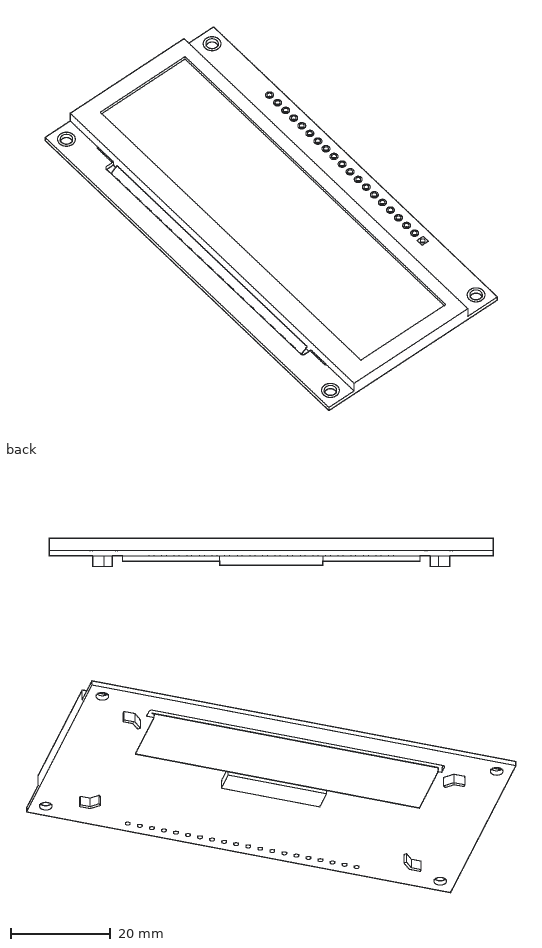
import cadquery as cq
import math

BOARD_LENGTH = 89.2
BOARD_WIDTH = 44.0
BOARD_THICKNESS = 1.1

BEZEL_FRONT_Y = -15.4
BEZEL_BACK_Y = 14.3
BEZEL_HEIGHT = 2.5

WINDOW_LENGTH = 81.9
WINDOW_WIDTH = 22.1
WINDOW_CENTRE_Y = 0.45
WINDOW_DEPTH = 0.8

HOLE_DIAMETER = 2.5
HOLE_RING_DIAMETER = 3.6
HOLE_X = 41.5
HOLE_Y = 19.0
PAD_HEIGHT = 0.045

PIN_COUNT = 20
PIN_PITCH = 2.53
PIN_ROW_Y = 19.5
PIN_HOLE_DIAMETER = 1.0
PIN_PAD_SIZE = 1.6

TAB_CENTRE_X = 33.5
TAB_HALF_WIDTH = 2.3
TAB_THICKNESS = 0.6
TAB_DROP = 2.1
TAB_TWIST = 45.0
TAB_OVERHANG = 0.13
SHOULDER_OVERHANG = 0.3
SHOULDER_RISE = 0.045

RELIEF_OUTER_X = 36.4
RELIEF_INNER_X = 30.9
RELIEF_BACK_Y = 14.9
RELIEF_DEPTH = 0.3

SLOT_LENGTH = 62.1
SLOT_FRONT_Y = -17.7
SLOT_CORNER_RADIUS = 0.5

CABLE_WIDTH = 59.8
CABLE_THICKNESS = 0.11
CABLE_BOTTOM_Z = -1.1
CABLE_FRONT_Y = -16.9
CABLE_BEND_RADIUS = 0.67
CABLE_SLOPE = 38.0

CONNECTOR_LENGTH = 20.7
CONNECTOR_FRONT_Y = -4.1
CONNECTOR_BACK_Y = 0.45
CONNECTOR_HEIGHT = 1.9


def block(x_range, y_range, z_range):
    """Box between pairs of X, Y and Z limits."""
    size = [limits[1] - limits[0] for limits in (x_range, y_range, z_range)]
    corner = (x_range[0], y_range[0], z_range[0])
    return cq.Workplane("XY").box(*size, centered=False).translate(corner)


def centred_block(length, y_range, z_range):
    """Box that is symmetric about X = 0."""
    return block((-length / 2, length / 2), y_range, z_range)


def pin_positions():
    first_x = -PIN_PITCH * (PIN_COUNT - 1) / 2
    return [(first_x + i * PIN_PITCH, PIN_ROW_Y) for i in range(PIN_COUNT)]


def hole_positions():
    return [(x, y) for x in (-HOLE_X, HOLE_X) for y in (-HOLE_Y, HOLE_Y)]


def make_board():
    """Plain board with its raised pads, before any hole is cut."""
    half_width = BOARD_WIDTH / 2
    board = centred_block(BOARD_LENGTH, (-half_width, half_width), (0, BOARD_THICKNESS))
    board_top = cq.Workplane("XY").workplane(offset=BOARD_THICKNESS)
    *round_pins, square_pin = pin_positions()
    rings = board_top.pushPoints(hole_positions()).circle(HOLE_RING_DIAMETER / 2).extrude(PAD_HEIGHT)
    round_pads = board_top.pushPoints(round_pins).circle(PIN_PAD_SIZE / 2).extrude(PAD_HEIGHT)
    square_pad = board_top.pushPoints([square_pin]).rect(PIN_PAD_SIZE, PIN_PAD_SIZE).extrude(PAD_HEIGHT)
    return board.union(rings).union(round_pads).union(square_pad)


def make_bezel():
    top_z = BOARD_THICKNESS + BEZEL_HEIGHT
    bezel = centred_block(BOARD_LENGTH, (BEZEL_FRONT_Y, BEZEL_BACK_Y), (BOARD_THICKNESS, top_z))
    window_y = (WINDOW_CENTRE_Y - WINDOW_WIDTH / 2, WINDOW_CENTRE_Y + WINDOW_WIDTH / 2)
    return bezel.cut(centred_block(WINDOW_LENGTH, window_y, (top_z - WINDOW_DEPTH, top_z)))


def make_tab():
    """Right back tab: a straight shoulder through the board, then a part folded along its middle."""
    outer_y = BEZEL_BACK_Y + TAB_OVERHANG
    inner_y = outer_y - TAB_THICKNESS
    straight_end_x = TAB_CENTRE_X + TAB_HALF_WIDTH
    shoulder = block(
        (TAB_CENTRE_X - TAB_HALF_WIDTH, straight_end_x),
        (inner_y, BEZEL_BACK_Y + SHOULDER_OVERHANG),
        (0, BOARD_THICKNESS + SHOULDER_RISE),
    )

    twist = math.radians(TAB_TWIST)
    end_x = TAB_CENTRE_X - TAB_HALF_WIDTH * math.cos(twist)
    end_y = outer_y - TAB_HALF_WIDTH * math.sin(twist)
    mitre = TAB_THICKNESS * math.tan(twist / 2)
    folded = (
        cq.Workplane("XY")
        .moveTo(straight_end_x, outer_y)
        .lineTo(TAB_CENTRE_X, outer_y)
        .lineTo(end_x, end_y)
        .lineTo(end_x + TAB_THICKNESS * math.sin(twist), end_y - TAB_THICKNESS * math.cos(twist))
        .lineTo(TAB_CENTRE_X + mitre, inner_y)
        .lineTo(straight_end_x, inner_y)
        .close()
        .extrude(-TAB_DROP)
    )
    return shoulder.union(folded)


def make_relief():
    return block(
        (RELIEF_INNER_X, RELIEF_OUTER_X),
        (BEZEL_BACK_Y, RELIEF_BACK_Y),
        (BOARD_THICKNESS - RELIEF_DEPTH, BOARD_THICKNESS),
    )


def make_slot():
    slot = centred_block(SLOT_LENGTH, (SLOT_FRONT_Y, BEZEL_FRONT_Y), (0, BOARD_THICKNESS))
    return slot.edges("|Z and <Y").fillet(SLOT_CORNER_RADIUS)


def drill(points, diameter):
    """Cutters that pass right through the board and its pads."""
    return cq.Workplane("XY").pushPoints(points).circle(diameter / 2).extrude(BOARD_THICKNESS + PAD_HEIGHT)


def make_display():
    """Board, bezel and locking tabs as one solid."""
    display = make_board().union(make_bezel())
    relief = make_relief()
    display = display.cut(relief).cut(relief.mirror("YZ"))

    bezel_centre = (0, (BEZEL_FRONT_Y + BEZEL_BACK_Y) / 2, 0)
    back_tab = make_tab()
    front_tab = back_tab.mirror("XZ", bezel_centre)
    for tab in (back_tab, front_tab):
        display = display.union(tab).union(tab.mirror("YZ"))

    display = display.cut(make_slot())
    display = display.cut(drill(hole_positions(), HOLE_DIAMETER))
    return display.cut(drill(pin_positions(), PIN_HOLE_DIAMETER))


def make_cable():
    """Cable profile in the YZ plane, drawn round the bend centre and extruded along X."""
    centre_y = CABLE_FRONT_Y + CABLE_BEND_RADIUS
    centre_z = CABLE_BOTTOM_Z + CABLE_BEND_RADIUS
    inner_radius = CABLE_BEND_RADIUS - CABLE_THICKNESS
    slope = math.radians(CABLE_SLOPE)

    def on_bend(radius, angle):
        return (centre_y - radius * math.sin(angle), centre_z + radius * math.cos(angle))

    def at_wall(radius):
        y, z = on_bend(radius, slope)
        return (BEZEL_FRONT_Y, z + (BEZEL_FRONT_Y - y) * math.tan(slope))

    middle = (slope + math.pi) / 2
    cable = (
        cq.Workplane("YZ", origin=(-CABLE_WIDTH / 2, 0, 0))
        .moveTo(CONNECTOR_FRONT_Y, CABLE_BOTTOM_Z)
        .lineTo(centre_y, CABLE_BOTTOM_Z)
        .threePointArc(on_bend(CABLE_BEND_RADIUS, middle), on_bend(CABLE_BEND_RADIUS, slope))
        .lineTo(*at_wall(CABLE_BEND_RADIUS))
        .lineTo(*at_wall(inner_radius))
        .lineTo(*on_bend(inner_radius, slope))
        .threePointArc(on_bend(inner_radius, middle), on_bend(inner_radius, math.pi))
        .lineTo(CONNECTOR_FRONT_Y, CABLE_BOTTOM_Z + CABLE_THICKNESS)
        .close()
        .extrude(CABLE_WIDTH)
    )
    return cable


def make_cable_assembly():
    """Connector with the flat cable that runs into its front face."""
    connector = centred_block(CONNECTOR_LENGTH, (CONNECTOR_FRONT_Y, CONNECTOR_BACK_Y), (-CONNECTOR_HEIGHT, 0))
    return connector.union(make_cable())


display = make_display()
cable_assembly = make_cable_assembly()
result = cq.Compound.makeCompound([display.val(), cable_assembly.val()])